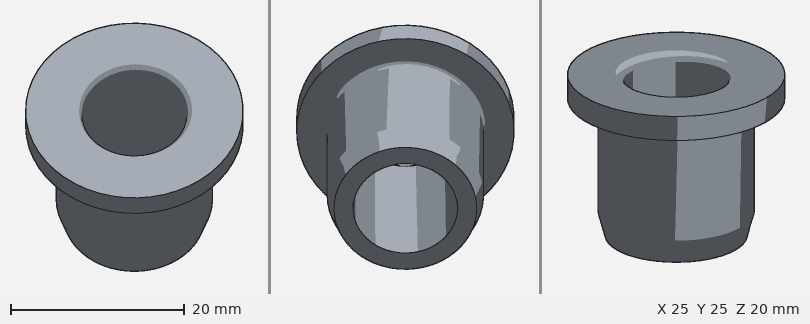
import cadquery as cq
import math

flange_diameter = 25
flange_thickness = 3
total_height = 20
body_diameter = 18
bore_diameter = 12

lead_in_height = 3
lead_in_angle = 15
neck_fillet_radius = 0.5
bore_mouth_radius = 1

flange_underside = total_height - flange_thickness
lead_in_inset = lead_in_height * math.tan(math.radians(lead_in_angle))

lead_in = (
    cq.Workplane("XY")
    .circle(body_diameter / 2 - lead_in_inset)
    .workplane(offset=lead_in_height)
    .circle(body_diameter / 2)
    .loft(ruled=True)
)
sleeve = (
    cq.Workplane("XY", origin=(0, 0, lead_in_height))
    .circle(body_diameter / 2)
    .extrude(flange_underside - lead_in_height)
)

flange = (
    cq.Workplane("XY", origin=(0, 0, flange_underside))
    .circle(flange_diameter / 2)
    .extrude(flange_thickness)
)
body = lead_in.union(sleeve).union(flange)

neck_edge = cq.selectors.RadiusNthSelector(0)
body = body.faces(cq.selectors.NearestToPointSelector((0, 0, flange_underside))).edges(neck_edge).fillet(
    neck_fillet_radius
)

body = body.faces(">Z").workplane().circle(bore_diameter / 2).cutThruAll()
result = body.faces(">Z").edges(cq.selectors.RadiusNthSelector(0)).fillet(bore_mouth_radius)